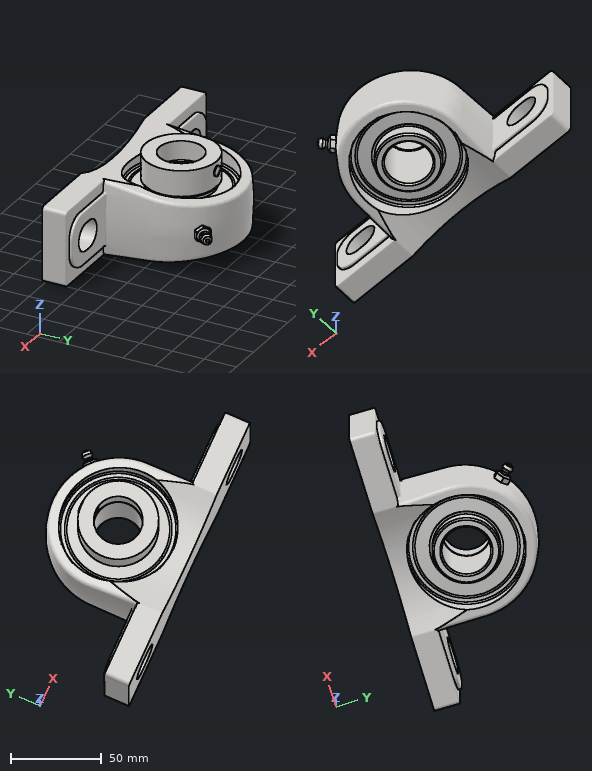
import cadquery as cq
import math


axis_height = 42.9
foot_length = 164.0
foot_width = 47.0
foot_thickness = 15.0
foot_corner_radius = 2.5
foot_edge_radius = 1.0
foot_top = foot_thickness - axis_height

waist_length = 73.6
waist_width = 32.0

pad_height = 2.0
pad_end = 78.5
pad_width = 32.6
pad_corner_radius = 12.0
pad_edge_radius = 0.8
pad_blend_radius = 0.8
pad_top = foot_top + pad_height

slot_spacing = 121.0
slot_length = 21.0
slot_width = 17.0

overall_height = 82.95
arch_radius = overall_height - axis_height
arch_top_width = 32.0
crown_radius = 142.0
arch_edge_radius = 2.5

recess_diameter = 65.43
ledge_diameter = 63.5

outer_ring_width = 20.0
outer_ring_face_diameter = 59.06
outer_ring_bore = 56.64

inner_ring_width = 36.6
inner_ring_diameter = 37.63
shaft_diameter = 26.99
inner_ring_end_diameter = 35.62
ring_chamfer = (inner_ring_diameter - inner_ring_end_diameter) / 2
shoulder_diameter = 40.64

seal_rise = 0.4
seal_thickness = 1.5

collar_top = 30.1
collar_diameter = 44.5
collar_width = 15.9
lip_diameter = 41.66
lip_height = 1.6
collar_bottom = collar_top - collar_width
lip_bottom = collar_bottom - lip_height

screw_diameter = 6.35
screw_length = 5.0
screw_depth = 6.1
screw_protrusion = 0.4
screw_height = collar_top - screw_depth

fitting_angle = 45.0
fitting_seat = arch_radius
hex_across_flats = 8.5
hex_height = 3.2
hex_cap_diameter = 6.35
hex_cap_height = 1.2
neck_diameter = 4.0
neck_length = 1.2
head_diameter = 6.35
head_flare = 1.8
head_tip_diameter = 5.0
head_length = 2.2
nipple_diameter = 2.0
nipple_height = 0.7
stem_diameter = 5.0
stem_length = 4.0


def disc(diameter, bottom, top):
    """A cylinder about the bearing axis between two heights."""
    return cq.Workplane("XY").workplane(offset=bottom).circle(diameter / 2).extrude(top - bottom)


def revolve_about_z(outline):
    """A closed outline drawn in the XZ plane, turned about the Z axis."""
    return outline.close().revolve(360, (0, 0, 0), (0, 1, 0))


def along_y(bottom):
    """A plane at Y = bottom whose extrusions run toward +Y; local y is -Z."""
    return cq.Workplane("ZX", origin=(0, bottom, 0)).transformed(rotate=(0, 0, 90))


def waisted_prism(height):
    """The foot's waisted outline, rising from the mounting face."""
    half_length = foot_length / 2
    half_width = foot_width / 2
    half_waist = waist_length / 2
    return (
        along_y(-axis_height)
        .moveTo(-half_length, -half_width)
        .lineTo(-half_waist, -half_width)
        .threePointArc((0, -waist_width / 2), (half_waist, -half_width))
        .lineTo(half_length, -half_width)
        .lineTo(half_length, half_width)
        .lineTo(half_waist, half_width)
        .threePointArc((0, waist_width / 2), (-half_waist, half_width))
        .lineTo(-half_length, half_width)
        .close()
        .extrude(height)
        .edges("|Y")
        .fillet(foot_corner_radius)
    )


def crowned_blank():
    """The arch and its straight legs, with a slightly crowned outer surface."""
    half_width = foot_width / 2
    sag = crown_radius - math.sqrt(crown_radius**2 - half_width**2)
    edge = arch_radius - sag
    dome = revolve_about_z(
        cq.Workplane("XZ")
        .moveTo(0, -half_width)
        .lineTo(edge, -half_width)
        .threePointArc((arch_radius, 0), (edge, half_width))
        .lineTo(0, half_width)
    )
    legs = (
        cq.Workplane("XZ")
        .moveTo(-edge, -half_width)
        .lineTo(edge, -half_width)
        .threePointArc((arch_radius, 0), (edge, half_width))
        .lineTo(-edge, half_width)
        .threePointArc((-arch_radius, 0), (-edge, -half_width))
        .close()
        .extrude(axis_height)
    )
    return dome.union(legs)


def arch():
    """The crowned blank narrowed toward its top, with rounded side edges."""
    half_foot = foot_width / 2
    taper_slope = (half_foot - arch_top_width / 2) / (arch_radius - foot_top)
    beyond = arch_radius + foot_edge_radius
    half_beyond = half_foot - taper_slope * (beyond - foot_top)
    taper = (
        cq.Workplane("YZ")
        .polyline(
            [
                (-axis_height, -half_foot),
                (foot_top, -half_foot),
                (beyond, -half_beyond),
                (beyond, half_beyond),
                (foot_top, half_foot),
                (-axis_height, half_foot),
            ]
        )
        .close()
        .extrude(arch_radius, both=True)
    )
    rounded = crowned_blank().intersect(taper)
    for side in (1, -1):
        sloped_face = cq.selectors.NearestToPointSelector((0, 0, side * foot_width))
        rounded = rounded.faces(sloped_face).edges("not |X").fillet(arch_edge_radius)
    return rounded


def foot():
    """The waisted foot with rounded upper edges and two raised pads."""
    base = waisted_prism(foot_thickness).faces(">Y").edges().fillet(foot_edge_radius)
    pads = (
        along_y(foot_top - foot_edge_radius)
        .rect(2 * pad_end, pad_width)
        .extrude(pad_height + foot_edge_radius)
        .edges("|Y")
        .fillet(pad_corner_radius)
        .faces(">Y")
        .edges()
        .fillet(pad_edge_radius)
    )
    return base.union(pads)


def bearing_opening():
    """The recesses, chamfers and spherical seat inside the housing."""
    half_ring = outer_ring_width / 2
    chamfer = (recess_diameter - ledge_diameter) / 2
    opening = outer_ring_blank()
    for side in (1, -1):
        opening = opening.union(
            revolve_about_z(
                cq.Workplane("XZ")
                .moveTo(0, side * half_ring)
                .lineTo(ledge_diameter / 2, side * half_ring)
                .lineTo(recess_diameter / 2, side * (half_ring + chamfer))
                .lineTo(recess_diameter / 2, side * foot_width)
                .lineTo(0, side * foot_width)
            )
        )
    return opening


def make_housing():
    dome_space = cq.Workplane("XY").box(foot_length, arch_radius, foot_width, centered=(True, False, True))
    kept_space = waisted_prism(axis_height).union(dome_space)
    body = arch().intersect(kept_space).union(foot())
    for side in (1, -1):
        pad_joint = cq.selectors.NearestToPointSelector((side * arch_radius, pad_top, 0))
        body = body.edges(pad_joint).fillet(pad_blend_radius)
    slots = (
        along_y(-axis_height)
        .pushPoints([(-slot_spacing / 2, 0), (slot_spacing / 2, 0)])
        .slot2D(slot_length, slot_width)
        .extrude(foot_thickness + pad_height)
    )
    return body.cut(slots).cut(bearing_opening()).cut(make_grease_fitting())


def outer_ring_blank():
    """The solid barrel with a spherical outer surface."""
    half_ring = outer_ring_width / 2
    face_radius = outer_ring_face_diameter / 2
    sphere_radius = math.hypot(half_ring, face_radius)
    return revolve_about_z(
        cq.Workplane("XZ")
        .moveTo(0, -half_ring)
        .lineTo(face_radius, -half_ring)
        .threePointArc((sphere_radius, 0), (face_radius, half_ring))
        .lineTo(0, half_ring)
    )


def make_outer_ring():
    half_ring = outer_ring_width / 2
    return outer_ring_blank().cut(disc(outer_ring_bore, -half_ring, half_ring))


def make_inner_ring():
    """A tube with chamfered ends and a wider shoulder that reaches up to the collar."""
    half_width = inner_ring_width / 2
    half_ring = outer_ring_width / 2
    tube = (
        disc(inner_ring_diameter, -half_width, half_width)
        .cut(disc(shaft_diameter, -half_width, half_width))
        .faces("|Z")
        .edges()
        .chamfer(ring_chamfer)
    )
    shoulder = disc(shoulder_diameter, -half_ring, lip_bottom)
    return tube.union(shoulder.cut(disc(inner_ring_diameter, -half_ring, lip_bottom)))


def make_seal(side):
    """A slightly coned ring closing one end of the bearing, on the +Z or -Z side."""
    inner = shoulder_diameter / 2
    outer = outer_ring_bore / 2
    face = outer_ring_width / 2
    return revolve_about_z(
        cq.Workplane("XZ")
        .moveTo(outer, side * face)
        .lineTo(inner, side * (face + seal_rise))
        .lineTo(inner, side * (face - seal_thickness))
        .lineTo(outer, side * (face - seal_thickness))
    )


def screw_cylinder(start, end):
    """A cylinder on the set screw's axis between two distances from the bearing axis."""
    return (
        along_y(start)
        .center(0, -screw_height)
        .circle(screw_diameter / 2)
        .extrude(end - start)
    )


def make_collar():
    collar = disc(collar_diameter, collar_bottom, collar_top).union(
        disc(lip_diameter, lip_bottom, collar_bottom)
    )
    shaft_hole = disc(shaft_diameter, lip_bottom, collar_top)
    ring_seat = disc(inner_ring_diameter, lip_bottom, inner_ring_width / 2)
    screw_hole = screw_cylinder(0, collar_diameter)
    return collar.cut(shaft_hole).cut(ring_seat).cut(screw_hole)


def make_set_screw():
    end = collar_diameter / 2 + screw_protrusion
    return screw_cylinder(end - screw_length, end)


def make_grease_fitting():
    """A stem, capped hexagon, neck and tapered head, standing out of the arch at an angle."""
    hex_top = fitting_seat + hex_height
    cap_top = hex_top + hex_cap_height
    neck_top = cap_top + neck_length
    head_widest = neck_top + head_flare
    head_top = head_widest + head_length
    tip = head_top + nipple_height
    hexagon = (
        cq.Workplane("YZ", origin=(fitting_seat, 0, 0))
        .polygon(6, hex_across_flats, circumscribed=True)
        .extrude(hex_height)
    )
    turned = (
        cq.Workplane("XY")
        .moveTo(fitting_seat - stem_length, 0)
        .lineTo(fitting_seat - stem_length, stem_diameter / 2)
        .lineTo(hex_top, stem_diameter / 2)
        .lineTo(hex_top, hex_across_flats / 2)
        .lineTo(cap_top, hex_cap_diameter / 2)
        .lineTo(cap_top, neck_diameter / 2)
        .lineTo(neck_top, neck_diameter / 2)
        .lineTo(head_widest, head_diameter / 2)
        .lineTo(head_top, head_tip_diameter / 2)
        .lineTo(head_top, nipple_diameter / 2)
        .lineTo(tip, nipple_diameter / 2)
        .lineTo(tip, 0)
        .close()
        .revolve(360, (0, 0, 0), (1, 0, 0))
    )
    return hexagon.union(turned).rotate((0, 0, 0), (0, 0, 1), fitting_angle)


housing = make_housing()
outer_ring = make_outer_ring()
inner_ring = make_inner_ring()
seals = [make_seal(side) for side in (1, -1)]
collar = make_collar()
set_screw = make_set_screw()
grease_fitting = make_grease_fitting()

result = cq.Compound.makeCompound(
    [
        housing.val(),
        outer_ring.val(),
        inner_ring.val(),
        *[seal.val() for seal in seals],
        collar.val(),
        set_screw.val(),
        grease_fitting.val(),
    ]
)